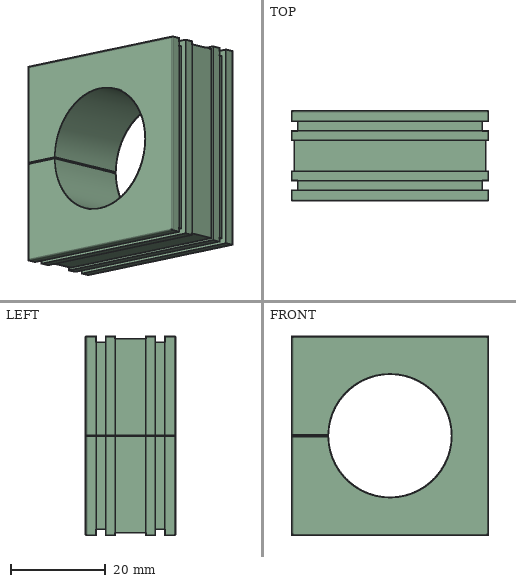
import cadquery as cq

WIDTH = 41.5
LENGTH = 19.0
HEIGHT = 42.0
EDGE_RADIUS = 0.25

END_FLANGE_LENGTH = 2.25
GROOVE_LENGTH = 2.0
RIB_LENGTH = 2.0
GROOVE_DEPTH = 1.25
MIDDLE_DEPTH = 0.5

BORE_DIAMETER = 26.0
SLIT_GAP = 0.3

MIDDLE_LENGTH = LENGTH - 2 * (END_FLANGE_LENGTH + GROOVE_LENGTH + RIB_LENGTH)
GROOVE_OFFSET = LENGTH / 2 - END_FLANGE_LENGTH - GROOVE_LENGTH / 2


def make_block():
    """Rectangular block with the rims of both end faces rounded."""
    block = cq.Workplane("XY").box(WIDTH, LENGTH, HEIGHT)
    return block.faces("<Y or >Y").edges().fillet(EDGE_RADIUS)


def make_band(centre_y, length, depth):
    """Rectangular ring that recesses all four sides of the block by depth."""
    outer = cq.Workplane("XY").box(WIDTH, length, HEIGHT)
    core = cq.Workplane("XY").box(WIDTH - 2 * depth, length, HEIGHT - 2 * depth)
    return outer.cut(core).translate((0, centre_y, 0))


def make_bore():
    """Round hole through both end faces."""
    return cq.Workplane("XZ").circle(BORE_DIAMETER / 2).extrude(LENGTH / 2, both=True)


def make_slit():
    """Thin cut that opens the bore to the -X side."""
    slit_width = WIDTH / 2
    return cq.Workplane("XY").box(slit_width, LENGTH, SLIT_GAP).translate((-slit_width / 2, 0, 0))


result = make_block()
for side in (-1, 1):
    result = result.cut(make_band(side * GROOVE_OFFSET, GROOVE_LENGTH, GROOVE_DEPTH))
result = result.cut(make_band(0, MIDDLE_LENGTH, MIDDLE_DEPTH))
result = result.cut(make_bore())
result = result.cut(make_slit())